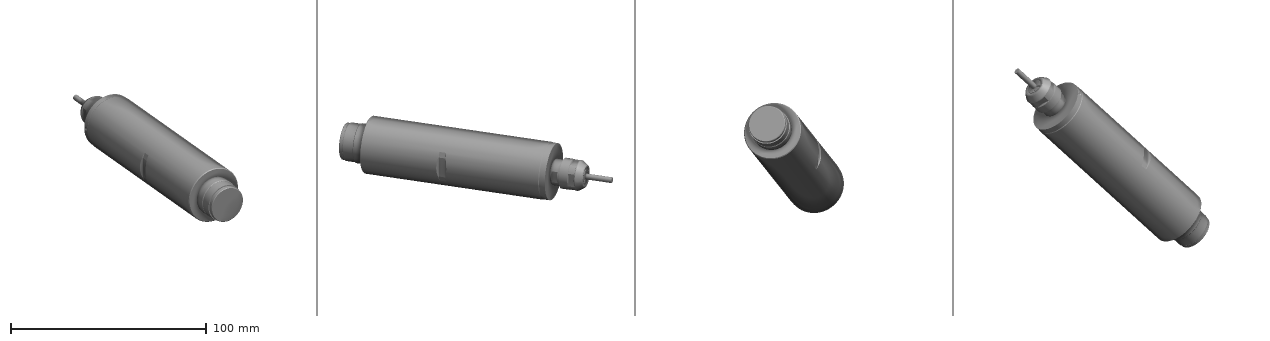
import cadquery as cq
import math


overall_length = 144.47

cable_radius = 1.5
cable_tip_x = -31.4

nut_front_x = -17.4
nut_radius = 8.0
nut_face_radius = 5.7
nut_bevel = 0.4
dome_mid_x = -15.3
dome_mid_radius = 7.3
dome_end_x = -13.9
rim_end_x = -13.5
grip_start_x = -13.0
grip_end_x = -10.3
collar_start_x = -9.8
nut_end_x = -5.2
nut_flat_distance = 7.0
nut_corner_radius = 7.85

seal_radius = 4.1
seal_mouth_radius = 4.9
seal_mouth_depth = 0.3
slit_width = 0.5
slit_depth = 2.0
short_slit_inner_radius = 2.9
slit_count = 3

neck_radius = 6.85
neck_flat_distance = 6.1
neck_flat_start_x = -3.9
washer_start_x = -0.6
washer_radius = 6.5

cap_radius = 14.8
cap_length = 3.1
cap_dimple_radius = 1.0
cap_dimple_depth = 1.0
cap_dimple_x = 1.6

housing_radius = 15.0
housing_end_x = 100.0
housing_chamfer = 0.4
slot_x = 55.9
slot_floor_width = 3.5
slot_floor_distance = 13.6
slot_floor_half_height = 5.4
slot_flank_run = 0.7
slot_end_tilt = 20.0

ring_root_length = 0.9
ring_root_radius = 10.2
ring_radius = 10.35
ring_length = 5.4
ring_bevel = 0.3
sleeve_radius = 10.0
sleeve_step_x = housing_end_x + 10.7
sleeve_groove_radius = 9.45
sleeve_nose_x = housing_end_x + 11.3
sleeve_nose_radius = 9.6
sleeve_end_x = cable_tip_x + overall_length
sleeve_chamfer = 0.3


def rod(start_x, end_x, radius):
    """Solid cylinder on the X axis."""
    return cq.Workplane("YZ", origin=(start_x, 0, 0)).circle(radius).extrude(end_x - start_x)


def turned(profile):
    """Solid of revolution about the X axis of an open (x, radius) wire that starts and ends on it."""
    return profile.close().revolve(360, (0, 0, 0), (1, 0, 0))


def outer_block(distance, start_x, end_x, angle):
    """Block lying outside a plane parallel to X, facing -Y and then turned about X by `angle`."""
    size = 2 * neck_radius
    block = cq.Workplane("XY").box(end_x - start_x, size, size, centered=(False, False, True))
    block = block.translate((start_x, -distance - size, 0))
    return block.rotate((0, 0, 0), (1, 0, 0), angle)


def make_cable():
    return rod(cable_tip_x, 0, cable_radius)


def make_grip():
    """Stretch of the nut with four flats between rounded corners."""
    length = collar_start_x - rim_end_x
    across_flats = 2 * nut_flat_distance
    square = cq.Workplane("YZ", origin=(rim_end_x, 0, 0)).rect(across_flats, across_flats).extrude(length)
    return square.intersect(rod(rim_end_x, collar_start_x, nut_corner_radius))


def make_nut():
    front = turned(
        cq.Workplane("XY")
        .moveTo(nut_front_x, 0)
        .lineTo(nut_front_x, nut_face_radius)
        .lineTo(nut_front_x + nut_bevel, nut_face_radius + nut_bevel)
        .threePointArc((dome_mid_x, dome_mid_radius), (dome_end_x, nut_radius))
        .lineTo(rim_end_x, nut_radius)
        .lineTo(grip_start_x, nut_flat_distance)
        .lineTo(grip_start_x, 0)
    )
    collar = turned(
        cq.Workplane("XY")
        .moveTo(grip_end_x, 0)
        .lineTo(grip_end_x, nut_flat_distance)
        .lineTo(collar_start_x, nut_radius)
        .lineTo(nut_end_x, nut_radius)
        .lineTo(nut_end_x, 0)
    )
    mouth = turned(
        cq.Workplane("XY")
        .moveTo(nut_front_x, 0)
        .lineTo(nut_front_x, seal_mouth_radius)
        .lineTo(nut_front_x + seal_mouth_depth, seal_radius)
        .lineTo(nut_front_x + seal_mouth_depth, 0)
    )
    nut = front.union(make_grip()).union(collar)
    return nut.cut(mouth).cut(rod(nut_front_x, nut_end_x, seal_radius))


def make_slit(inner_radius, angle):
    slit = cq.Workplane("XY").box(
        slit_depth, slit_width, seal_radius - inner_radius, centered=(False, True, False)
    )
    slit = slit.translate((nut_front_x, 0, inner_radius))
    return slit.rotate((0, 0, 0), (1, 0, 0), angle)


def make_seal():
    seal = rod(nut_front_x, nut_end_x, seal_radius)
    spacing = 360 / slit_count
    for index in range(slit_count):
        seal = seal.cut(make_slit(0, index * spacing))
        seal = seal.cut(make_slit(short_slit_inner_radius, (index + 0.5) * spacing))
    return seal.cut(make_cable())


def make_gland_body():
    body = rod(nut_end_x, washer_start_x, neck_radius)
    for angle in (0, 180):
        body = body.cut(outer_block(neck_flat_distance, neck_flat_start_x, washer_start_x, angle))
    return body.cut(make_cable())


def make_washer():
    return rod(washer_start_x, 0, washer_radius).cut(make_cable())


def make_end_cap():
    cap = rod(0, cap_length, cap_radius)
    dimple = cq.Solid.makeCone(
        cap_dimple_radius,
        0,
        cap_dimple_depth,
        pnt=cq.Vector(cap_dimple_x, -cap_radius, 0),
        dir=cq.Vector(0, 1, 0),
    )
    return cap.cut(cq.Workplane(dimple))


def slot_cutter(floor_distance, angle):
    """Bar along Z with a flat floor and flanks that open outward."""
    depth = 2 * (housing_radius - slot_floor_distance)
    floor_half = slot_floor_width / 2
    top_half = floor_half + depth * slot_flank_run
    bar = (
        cq.Workplane("XY", origin=(slot_x, 0, 0))
        .moveTo(-floor_half, -floor_distance)
        .lineTo(floor_half, -floor_distance)
        .lineTo(top_half, -floor_distance - depth)
        .lineTo(-top_half, -floor_distance - depth)
        .close()
        .extrude(housing_radius, both=True)
    )
    return bar.rotate((0, 0, 0), (1, 0, 0), angle)


def make_housing():
    housing = rod(cap_length, housing_end_x, housing_radius)
    housing = housing.faces("<X or >X").chamfer(housing_chamfer)
    tilt = math.radians(slot_end_tilt)
    end_distance = slot_floor_distance * math.cos(tilt) + slot_floor_half_height * math.sin(tilt)
    for side in (0, 180):
        housing = housing.cut(slot_cutter(slot_floor_distance, side))
        for turn in (-slot_end_tilt, slot_end_tilt):
            housing = housing.cut(slot_cutter(end_distance, side + turn))
    return housing


def make_connector_ring():
    ring_end_x = housing_end_x + ring_length
    root_end_x = housing_end_x + ring_root_length
    ring = rod(root_end_x, ring_end_x, ring_radius).faces(">X").chamfer(ring_bevel)
    return ring.union(rod(housing_end_x, root_end_x, ring_root_radius))


def make_connector_sleeve():
    sleeve = rod(housing_end_x + ring_length, sleeve_step_x, sleeve_radius)
    sleeve = sleeve.union(rod(sleeve_step_x, sleeve_nose_x, sleeve_groove_radius))
    nose = rod(sleeve_nose_x, sleeve_end_x, sleeve_nose_radius).faces(">X").chamfer(sleeve_chamfer)
    return sleeve.union(nose)


cable = make_cable()
gland_nut = make_nut()
seal = make_seal()
gland_body = make_gland_body()
washer = make_washer()
end_cap = make_end_cap()
housing = make_housing()
connector_ring = make_connector_ring()
connector_sleeve = make_connector_sleeve()

result = cq.Compound.makeCompound(
    [
        cable.val(),
        gland_nut.val(),
        seal.val(),
        gland_body.val(),
        washer.val(),
        end_cap.val(),
        housing.val(),
        connector_ring.val(),
        connector_sleeve.val(),
    ]
)